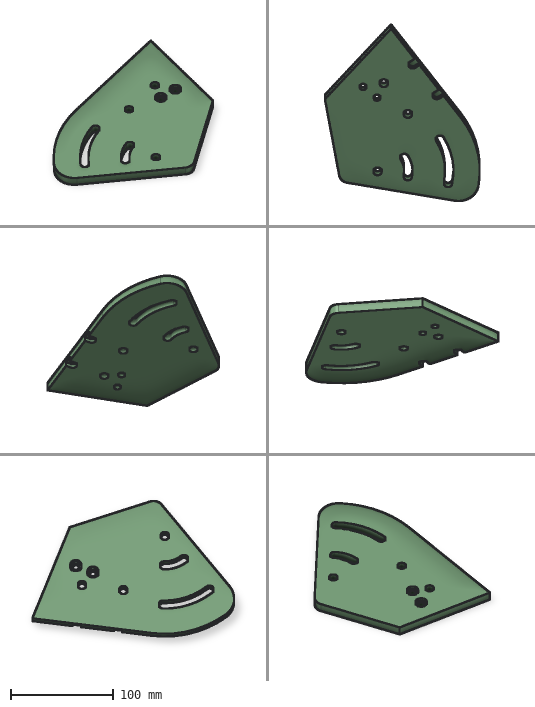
import cadquery as cq
import math

thickness = 10.0
rim_radius = 100.0
top_left = (-125.7, 89.8)
top_length = 100.0
upper_edge_slope = -50.1
lower_edge_slope = 60.0
lower_edge_offset = 17.5
right_corner_radius = 10.0
bottom_corner_radius = 20.0

slot_width = 8.2
notch_depth = thickness / 2
notch_end_inset = 5.3
pin_holes = [(-76.3, 57.1), (-66.3, 17.6)]
curved_slot_radii = [30.0, 70.0]
slot_start_angle = 200.0
slot_end_angle = 240.0

screw_holes = [(-60.1, 69.9), (-60.1, 52.0)]
screw_diameter = 6.5
head_diameter = 11.2
head_depth = 3.5


def polar(radius, degrees):
    """Point at a given radius and angle about the pivot."""
    angle = math.radians(degrees)
    return radius * math.cos(angle), radius * math.sin(angle)


tangent_angle = math.degrees(
    math.atan2(top_left[1], top_left[0]) + math.acos(rim_radius / math.hypot(*top_left))
)


def make_plate():
    top_right = (top_left[0] + top_length, top_left[1])
    normal = polar(1, lower_edge_slope - 90)
    upper = polar(1, upper_edge_slope)
    gap = lower_edge_offset - top_right[0] * normal[0] - top_right[1] * normal[1]
    reach = gap / (upper[0] * normal[0] + upper[1] * normal[1])
    right_corner = (top_right[0] + reach * upper[0], top_right[1] + reach * upper[1])
    bottom_angle = 270 + lower_edge_slope - math.degrees(math.acos(lower_edge_offset / rim_radius))
    bottom_corner = polar(rim_radius, bottom_angle)
    plate = (
        cq.Workplane("XY")
        .moveTo(*top_left)
        .lineTo(*polar(rim_radius, tangent_angle))
        .threePointArc(polar(rim_radius, (tangent_angle + bottom_angle) / 2), bottom_corner)
        .lineTo(*right_corner)
        .lineTo(*top_right)
        .close()
        .extrude(thickness)
    )
    plate = plate.edges("|Z").edges(">X").fillet(right_corner_radius)
    return plate.edges("|Z").edges("<Y").fillet(bottom_corner_radius)


def curved_slot(radius):
    """Round-ended slot following an arc about the pivot."""
    inner = radius - slot_width / 2
    outer = radius + slot_width / 2
    middle_angle = (slot_start_angle + slot_end_angle) / 2
    band = (
        cq.Workplane("XY")
        .moveTo(*polar(inner, slot_start_angle))
        .threePointArc(polar(inner, middle_angle), polar(inner, slot_end_angle))
        .lineTo(*polar(outer, slot_end_angle))
        .threePointArc(polar(outer, middle_angle), polar(outer, slot_start_angle))
        .close()
        .extrude(thickness)
    )
    ends = [polar(radius, slot_start_angle), polar(radius, slot_end_angle)]
    return band.union(cq.Workplane("XY").pushPoints(ends).circle(slot_width / 2).extrude(thickness))


def edge_notch(hole):
    """Round-ended underside notch in the left edge, pointing at a pin hole and square to the edge."""
    outward = polar(1, tangent_angle)
    edge_distance = rim_radius - hole[0] * outward[0] - hole[1] * outward[1]
    end_distance = edge_distance - notch_end_inset
    end_center = (hole[0] + end_distance * outward[0], hole[1] + end_distance * outward[1])
    length = notch_end_inset + slot_width
    return (
        cq.Workplane("XY")
        .center(length / 2, 0)
        .slot2D(length + slot_width, slot_width)
        .extrude(notch_depth)
        .rotate((0, 0, 0), (0, 0, 1), tangent_angle)
        .translate((end_center[0], end_center[1], 0))
    )


result = make_plate()

plain_holes = [(0, 0)] + pin_holes
result = result.cut(cq.Workplane("XY").pushPoints(plain_holes).circle(slot_width / 2).extrude(thickness))

for slot_radius in curved_slot_radii:
    result = result.cut(curved_slot(slot_radius))

for pin_hole in pin_holes:
    result = result.cut(edge_notch(pin_hole))

result = (
    result.cut(cq.Workplane("XY").pushPoints(screw_holes).circle(screw_diameter / 2).extrude(thickness))
    .cut(
        cq.Workplane("XY", origin=(0, 0, thickness))
        .pushPoints(screw_holes)
        .circle(head_diameter / 2)
        .extrude(-head_depth)
    )
)